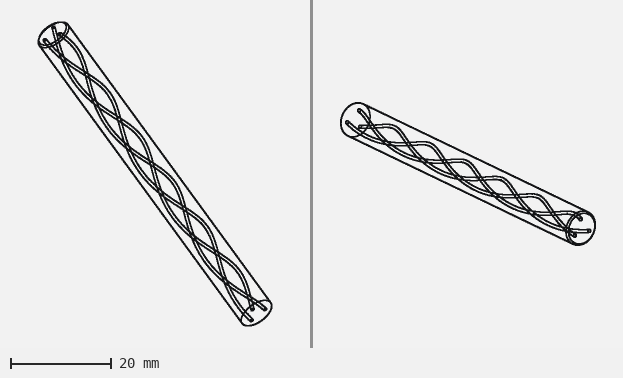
import cadquery as cq
import math

length = 80.0
diameter = 7.0
chamfer = 0.36

hole_count = 3
hole_diameter = 0.6
hole_circle_radius = 2.0
first_hole_angle = 84.5
helix_angle = 30.0

helix_pitch = math.pi * diameter / math.tan(math.radians(helix_angle))
total_twist = 360 * length / helix_pitch


def make_rod():
    """Round rod centred on the origin, chamfered at its -X end."""
    rod = cq.Workplane("YZ").circle(diameter / 2).extrude(length / 2, both=True)
    return rod.faces("<X").chamfer(chamfer)


def make_coolant_holes():
    """Cutters for the spiral holes, evenly spaced around the rod axis."""
    centers = []
    for index in range(hole_count):
        angle = math.radians(first_hole_angle + index * 360 / hole_count)
        center = (hole_circle_radius * math.cos(angle), hole_circle_radius * math.sin(angle))
        centers.append(center)
    end_face = cq.Workplane("YZ", origin=(-length / 2, 0, 0))
    holes = end_face.pushPoints(centers).circle(hole_diameter / 2)
    return holes.twistExtrude(length, total_twist)


result = make_rod().cut(make_coolant_holes())